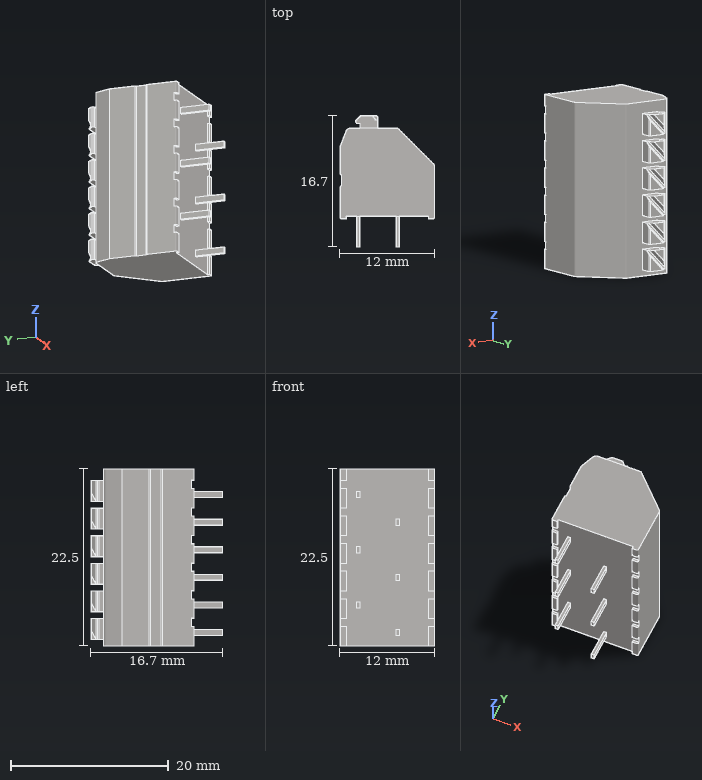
import cadquery as cq

WIDTH = 12.0
DEPTH = 16.7
LENGTH = 22.5

POLES = 6
END_FOOT_LENGTH = 1.48
PITCH = (LENGTH - END_FOOT_LENGTH) / POLES

FOOT_Y = 3.6
FLOOR_Y = 3.92
BACK_Y = 15.12
BEVEL_WIDTH = 0.9
BEVEL_START_Y = 12.78
SLOPE_START_Y = 10.45
BEVEL_ROUND = 0.63
SLOPE_ROUND = 0.34

GROOVE_DEPTH = 0.169
GROOVE_LOW_Y = 7.65
GROOVE_HIGH_Y = 9.32

FOOT_WIDTH = 0.79
FOOT_LENGTH = 2.5
FOOT_ROUND = 0.18

PIN_WIDTH = 0.4
PIN_HEIGHT = 0.79
PIN_FIRST_Z = 1.7
PIN_LEFT_X = 2.32
PIN_COLUMN_GAP = 5.0

BUTTON_LEFT_X = 2.52
BUTTON_RIGHT_X = 4.8
BUTTON_LENGTH = 2.68
BUTTON_CHAMFER = 0.15
HOOK_REACH = 0.55
HOOK_SLOPE = 0.6
HOOK_BOTTOM_Y = 15.68
HOOK_CHAMFER = 0.18

SLOT_TOP_WIDTH = 0.92
SLOT_FLOOR_WIDTH = 0.27
SLOT_DEPTH = 0.55


def make_housing():
    """Extruded housing with a bevel, a 45 degree slope and a side groove."""
    slope_run = BACK_Y - SLOPE_START_Y
    body = (
        cq.Workplane("XY")
        .moveTo(0, FLOOR_Y)
        .lineTo(WIDTH, FLOOR_Y)
        .lineTo(WIDTH, SLOPE_START_Y)
        .lineTo(WIDTH - slope_run, BACK_Y)
        .lineTo(BEVEL_WIDTH, BACK_Y)
        .lineTo(0, BEVEL_START_Y)
        .lineTo(0, GROOVE_HIGH_Y)
        .lineTo(GROOVE_DEPTH, GROOVE_HIGH_Y - GROOVE_DEPTH)
        .lineTo(GROOVE_DEPTH, GROOVE_LOW_Y + GROOVE_DEPTH)
        .lineTo(0, GROOVE_LOW_Y)
        .close()
        .extrude(LENGTH)
    )
    middle = LENGTH / 2
    bevel_corner = cq.NearestToPointSelector((BEVEL_WIDTH, BACK_Y, middle))
    body = body.edges(bevel_corner).fillet(BEVEL_ROUND)
    for corner in ((WIDTH, SLOPE_START_Y), (WIDTH - slope_run, BACK_Y)):
        body = body.edges(cq.NearestToPointSelector((*corner, middle))).fillet(SLOPE_ROUND)
    return body


def make_foot_pair(bottom_z, length):
    """Two opposite feet with rounded outer edges."""
    left = (
        cq.Workplane("XY", origin=(0, FOOT_Y, bottom_z))
        .rect(FOOT_WIDTH, FLOOR_Y - FOOT_Y, centered=False)
        .extrude(length)
        .edges("|Z and <X and <Y")
        .fillet(FOOT_ROUND)
    )
    right = left.mirror("YZ", (WIDTH / 2, 0, 0))
    return left.add(right).combine()


def make_pin(index):
    """Flat pin from the floor to Y = 0; even poles use the +X column."""
    center_x = PIN_LEFT_X
    if index % 2 == 0:
        center_x += PIN_COLUMN_GAP
    center_z = PIN_FIRST_Z + index * PITCH
    pin = cq.Workplane("XY").box(PIN_WIDTH, FLOOR_Y, PIN_HEIGHT)
    return pin.translate((center_x, FLOOR_Y / 2, center_z))


def make_slot():
    """Trapezoidal slot bar running at 45 degrees in X-Z through the middle of the button top."""
    middle_x = (BUTTON_LEFT_X - HOOK_REACH + BUTTON_RIGHT_X) / 2
    across_slot = cq.Plane(
        origin=(middle_x, DEPTH, BUTTON_LENGTH / 2),
        xDir=(1, 0, -1),
        normal=(1, 0, 1),
    )
    section = [
        (-SLOT_TOP_WIDTH / 2, 0),
        (-SLOT_FLOOR_WIDTH / 2, -SLOT_DEPTH),
        (SLOT_FLOOR_WIDTH / 2, -SLOT_DEPTH),
        (SLOT_TOP_WIDTH / 2, 0),
    ]
    half_run = BUTTON_RIGHT_X - BUTTON_LEFT_X + BUTTON_LENGTH
    return cq.Workplane(across_slot).polyline(section).close().extrude(half_run, both=True)


def make_button():
    """One hooked button standing on the back of the housing, from Z = 0 up."""
    hook_x = BUTTON_LEFT_X - HOOK_REACH
    block = (
        cq.Workplane("XY")
        .moveTo(BUTTON_LEFT_X, BACK_Y)
        .lineTo(BUTTON_RIGHT_X, BACK_Y)
        .lineTo(BUTTON_RIGHT_X, DEPTH - BUTTON_CHAMFER)
        .lineTo(BUTTON_RIGHT_X - BUTTON_CHAMFER, DEPTH)
        .lineTo(hook_x + HOOK_SLOPE, DEPTH)
        .lineTo(hook_x, DEPTH - HOOK_SLOPE)
        .lineTo(hook_x, HOOK_BOTTOM_Y + HOOK_CHAMFER)
        .lineTo(hook_x + HOOK_CHAMFER, HOOK_BOTTOM_Y)
        .lineTo(BUTTON_LEFT_X, HOOK_BOTTOM_Y)
        .close()
        .extrude(BUTTON_LENGTH)
    )
    return block.cut(make_slot())


result = make_housing()
result = result.union(make_foot_pair(POLES * PITCH, END_FOOT_LENGTH))

button = make_button()
for pole in range(POLES):
    result = result.union(make_foot_pair(pole * PITCH, FOOT_LENGTH))
    button_top_z = (pole + 1) * PITCH
    result = result.union(button.translate((0, 0, button_top_z - BUTTON_LENGTH)))
    result = result.union(make_pin(pole))